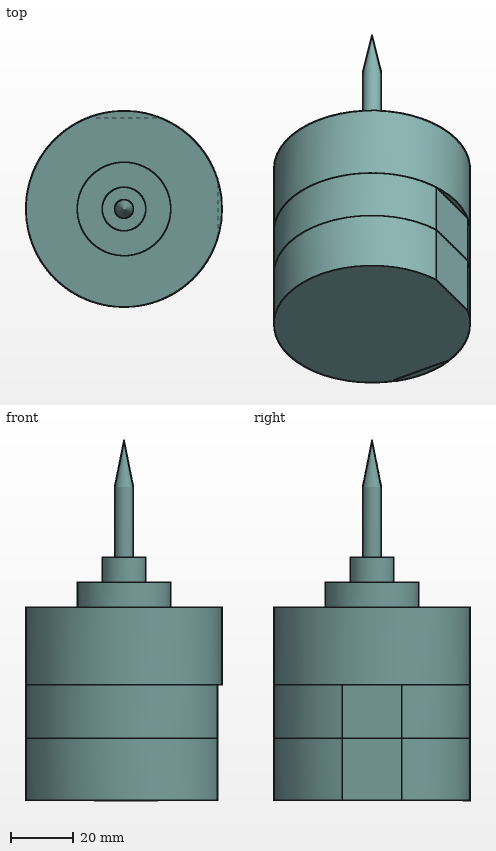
import cadquery as cq
import math

drum_diameter = 63.0
drum_radius = drum_diameter / 2
flat_distance = 30.0

base_height = 20.0
ring_height = 17.0
cap_height = 25.0

foot_width = 20.0
foot_center_x = 0.6
foot_inner_y = 29.3
foot_drop = 0.1

flange_diameter = 30.0
flange_height = 8.0
collar_diameter = 14.0
collar_height = 8.0
needle_diameter = 6.0
shank_length = 22.5
point_length = 15.0

ring_bottom = base_height
cap_bottom = ring_bottom + ring_height
spindle_bottom = cap_bottom + cap_height


def flatted_disc(bottom, height):
    """Disc with one flat facing +X."""
    half_chord = math.sqrt(drum_radius**2 - flat_distance**2)
    return (
        cq.Workplane("XY")
        .workplane(offset=bottom)
        .moveTo(flat_distance, half_chord)
        .threePointArc((-drum_radius, 0), (flat_distance, -half_chord))
        .close()
        .extrude(height)
    )


def make_foot():
    """Thin pad below the base, its outer side following the drum's round edge."""
    pad_depth = drum_radius - foot_inner_y
    pad = (
        cq.Workplane("XY")
        .center(foot_center_x, foot_inner_y + pad_depth / 2)
        .rect(foot_width, pad_depth)
        .extrude(-foot_drop)
    )
    drum_outline = cq.Workplane("XY").circle(drum_radius).extrude(-foot_drop)
    return pad.intersect(drum_outline)


def make_base():
    """Lowest disc of the drum with its foot."""
    return flatted_disc(0, base_height).union(make_foot())


def make_ring():
    """Middle disc of the drum."""
    return flatted_disc(ring_bottom, ring_height)


def make_cap():
    """Full round disc that closes the drum."""
    return cq.Workplane("XY").workplane(offset=cap_bottom).circle(drum_radius).extrude(cap_height)


def make_spindle():
    """Flange, collar and pointed needle, turned as one piece."""
    flange_top = spindle_bottom + flange_height
    collar_top = flange_top + collar_height
    shank_top = collar_top + shank_length
    tip = shank_top + point_length
    return (
        cq.Workplane("XZ")
        .moveTo(0, spindle_bottom)
        .lineTo(flange_diameter / 2, spindle_bottom)
        .lineTo(flange_diameter / 2, flange_top)
        .lineTo(collar_diameter / 2, flange_top)
        .lineTo(collar_diameter / 2, collar_top)
        .lineTo(needle_diameter / 2, collar_top)
        .lineTo(needle_diameter / 2, shank_top)
        .lineTo(0, tip)
        .close()
        .revolve(360, (0, 0, 0), (0, 1, 0))
    )


base = make_base()
ring = make_ring()
cap = make_cap()
spindle = make_spindle()

result = cq.Compound.makeCompound([base.val(), ring.val(), cap.val(), spindle.val()])